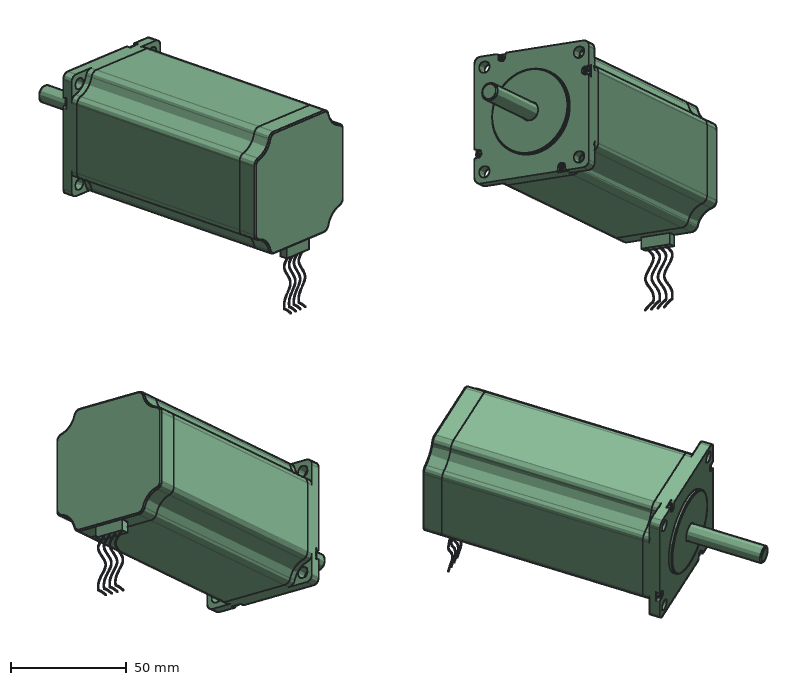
import cadquery as cq
import math


total_length = 149.0
flange_face_x = 37.0
pilot_height = 1.6
flange_thickness = 4.9
front_cover_length = 8.0
rear_cover_length = 9.1

pilot_face_x = flange_face_x - pilot_height
stator_front_x = flange_face_x + front_cover_length
stator_rear_x = total_length - rear_cover_length

frame_size = 57.0
half_frame = frame_size / 2
flange_corner_radius = 3.0
corner_cut_radius = 9.7
corner_edge_radius = 3.3
rear_chamfer = 0.6

mounting_hole_spacing = 47.1
mounting_hole_diameter = 5.0
pilot_diameter = 38.1
pilot_chamfer = 0.5

shaft_diameter = 7.9
bore_diameter = 8.3
shaft_chamfer = 0.6

notch_radius = 1.8
notch_depth = 1.8
notch_mouth_radius = 0.9
screw_offset = 14.9
screw_edge_distance = 1.8
screw_head_diameter = 3.3
screw_head_height = 1.3
screw_head_edge_radius = 1.0
cross_slot_width = 0.5
cross_slot_depth = 0.7
screw_count = 4

connector_length = 3.9
connector_width = 14.3
connector_height = 5.0
connector_center_y = -0.3
connector_rear_x = total_length - rear_chamfer

wire_count = 4
wire_diameter = 0.5
wire_spacing = 3.1
wire_row_center_y = 0.3
wire_swing_right = -3.0
wire_swing_left = 1.0
wire_tail_y = 1.2
wire_length = 27.3
wire_rear_inset = 1.6
wire_first_bend_z = -4.0
wire_second_bend_z = -13.1
wire_third_bend_start_z = -21.5
wire_third_bend_end_z = -23.5


def yz_plane(x):
    """Workplane across the motor axis, facing +X, with local axes Y and Z."""
    return cq.Workplane("YZ", origin=(x, 0, 0))


def fluted_block(start_x, end_x):
    """Square block with a rounded concave flute along each of its four long edges."""
    length = end_x - start_x
    flutes = (
        yz_plane(start_x)
        .rect(frame_size, frame_size, forConstruction=True)
        .vertices()
        .circle(corner_cut_radius)
        .extrude(length)
    )
    block = yz_plane(start_x).rect(frame_size, frame_size).extrude(length).cut(flutes)
    return block.edges("|X").fillet(corner_edge_radius)


def screw_notch():
    """U-shaped notch at the top edge of the flange, with a rounded mouth."""
    center_z = half_frame - screw_edge_distance
    mouth_half_width = notch_radius + notch_mouth_radius
    mouth_start_z = half_frame - notch_mouth_radius
    bend = notch_mouth_radius * (1 - math.sqrt(0.5))
    return (
        yz_plane(flange_face_x)
        .moveTo(screw_offset - notch_radius, center_z)
        .threePointArc((screw_offset, center_z - notch_radius), (screw_offset + notch_radius, center_z))
        .lineTo(screw_offset + notch_radius, mouth_start_z)
        .threePointArc(
            (screw_offset + notch_radius + bend, half_frame - bend),
            (screw_offset + mouth_half_width, half_frame),
        )
        .lineTo(screw_offset - mouth_half_width, half_frame)
        .threePointArc(
            (screw_offset - notch_radius - bend, half_frame - bend),
            (screw_offset - notch_radius, mouth_start_z),
        )
        .close()
        .extrude(notch_depth)
    )


def screw_head():
    """Rounded screw head on the notch floor, with a cross slot in its front."""
    floor_x = flange_face_x + notch_depth
    top_x = floor_x - screw_head_height
    center_z = half_frame - screw_edge_distance
    head = (
        yz_plane(top_x)
        .center(screw_offset, center_z)
        .circle(screw_head_diameter / 2)
        .extrude(screw_head_height)
        .faces("<X")
        .edges()
        .fillet(screw_head_edge_radius)
    )
    slots = yz_plane(top_x).center(screw_offset, center_z)
    for width, height in (
        (screw_head_diameter, cross_slot_width),
        (cross_slot_width, screw_head_diameter),
    ):
        slot = slots.rect(width, height).extrude(cross_slot_depth)
        head = head.cut(slot)
    return head


def make_front_cover():
    """Mounting flange with its pilot disc, clearance bore, mounting holes and screws."""
    cover = fluted_block(flange_face_x, stator_front_x)
    flange = (
        yz_plane(flange_face_x)
        .rect(frame_size, frame_size)
        .extrude(flange_thickness)
        .edges("|X")
        .fillet(flange_corner_radius)
    )
    pilot = (
        yz_plane(pilot_face_x)
        .circle(pilot_diameter / 2)
        .extrude(pilot_height)
        .faces("<X")
        .edges()
        .chamfer(pilot_chamfer)
    )
    mounting_holes = (
        yz_plane(flange_face_x)
        .rect(mounting_hole_spacing, mounting_hole_spacing, forConstruction=True)
        .vertices()
        .circle(mounting_hole_diameter / 2)
        .extrude(flange_thickness)
    )
    bore = yz_plane(pilot_face_x).circle(bore_diameter / 2).extrude(stator_front_x - pilot_face_x)
    cover = cover.union(flange).union(pilot).cut(mounting_holes).cut(bore)

    notch = screw_notch()
    head = screw_head()
    for index in range(screw_count):
        angle = index * 360 / screw_count
        cover = cover.cut(notch.rotate((0, 0, 0), (1, 0, 0), angle))
        cover = cover.union(head.rotate((0, 0, 0), (1, 0, 0), angle))
    return cover


def make_shaft():
    """Round shaft from its chamfered tip to the front face of the stator."""
    shaft = yz_plane(0).circle(shaft_diameter / 2).extrude(stator_front_x)
    return shaft.faces("<X").edges().chamfer(shaft_chamfer)


def wire(exit_x, exit_y, exit_z):
    """Wavy wire, rooted inside the connector and leaving it at the given point at 45 degrees."""
    root = cq.Vector(0, wire_diameter, wire_diameter)
    start_direction = (-1, -1)
    end_direction = (1, -1)
    bends = [
        (wire_diameter, wire_diameter),
        (wire_swing_right, wire_first_bend_z),
        (wire_swing_left, wire_second_bend_z),
        (wire_swing_right, wire_third_bend_start_z),
        (wire_swing_right, wire_third_bend_end_z),
        (wire_tail_y, -wire_length),
    ]
    exit_point = cq.Vector(exit_x, exit_y, exit_z)
    path = cq.Workplane("YZ", origin=exit_point).spline(bends, tangents=[start_direction, end_direction])
    root_plane = cq.Plane(exit_point + root, xDir=(1, 0, 0), normal=(0, *start_direction))
    profile = cq.Workplane(root_plane).circle(wire_diameter / 2)
    return profile.sweep(path)


def make_rear_cover():
    """Rear cover with the cable connector and its wires."""
    cover = fluted_block(stator_rear_x, total_length).faces(">X").edges().chamfer(rear_chamfer)
    connector_center_x = connector_rear_x - connector_length / 2
    connector_bottom_z = -half_frame - connector_height
    connector = (
        cq.Workplane("XY", origin=(connector_center_x, connector_center_y, connector_bottom_z))
        .rect(connector_length, connector_width)
        .extrude(connector_height)
    )
    cover = cover.union(connector)
    for index in range(wire_count):
        wire_y = wire_row_center_y + (index - (wire_count - 1) / 2) * wire_spacing
        cover = cover.union(wire(connector_rear_x - wire_rear_inset, wire_y, connector_bottom_z))
    return cover


front_cover = make_front_cover()
shaft = make_shaft()
stator = fluted_block(stator_front_x, stator_rear_x)
rear_cover = make_rear_cover()

bodies = [front_cover, shaft, stator, rear_cover]
result = cq.Compound.makeCompound([body.solids().val() for body in bodies])